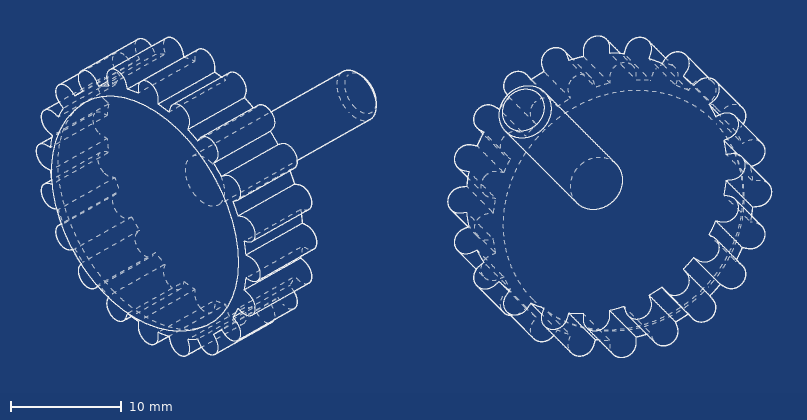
import cadquery as cq

total_length = 29.3
cap_height = 2.0
grip_width = 7.3
shaft_length = total_length - cap_height - grip_width

outer_diameter = 28.5
root_diameter = 25.0
cap_diameter = 23.0
fillet_margin = 0.003
shaft_diameter = 5.0
shaft_chamfer = 0.5

lobe_count = 20
lobe_width = 2.52
lobe_center_radius = (outer_diameter - lobe_width) / 2


def cylinder(diameter, start_y, length):
    """Cylinder on the Y axis, running from start_y toward +Y."""
    plane = cq.Workplane("XZ", origin=(0, start_y, 0))
    return plane.circle(diameter / 2).extrude(-length)


def make_lobe():
    """Radial rib with a rounded tip, starting on the axis and pointing along +X."""
    half_width = lobe_width / 2
    return (
        cq.Workplane("XZ")
        .moveTo(0, -half_width)
        .lineTo(lobe_center_radius, -half_width)
        .threePointArc((outer_diameter / 2, 0), (lobe_center_radius, half_width))
        .lineTo(0, half_width)
        .close()
        .extrude(-grip_width)
    )


def make_grip():
    grip = cylinder(root_diameter, 0, grip_width)
    lobe = make_lobe()
    for index in range(lobe_count):
        angle = index * 360 / lobe_count
        grip = grip.union(lobe.rotate((0, 0, 0), (0, 1, 0), angle))
    return grip


cap = cylinder(cap_diameter, -cap_height, cap_height)
cap = cap.faces("<Y").edges().fillet(cap_height - fillet_margin)

shaft = cylinder(shaft_diameter, grip_width, shaft_length)
shaft = shaft.faces(">Y").edges().chamfer(shaft_chamfer)

result = make_grip().union(cap).union(shaft)